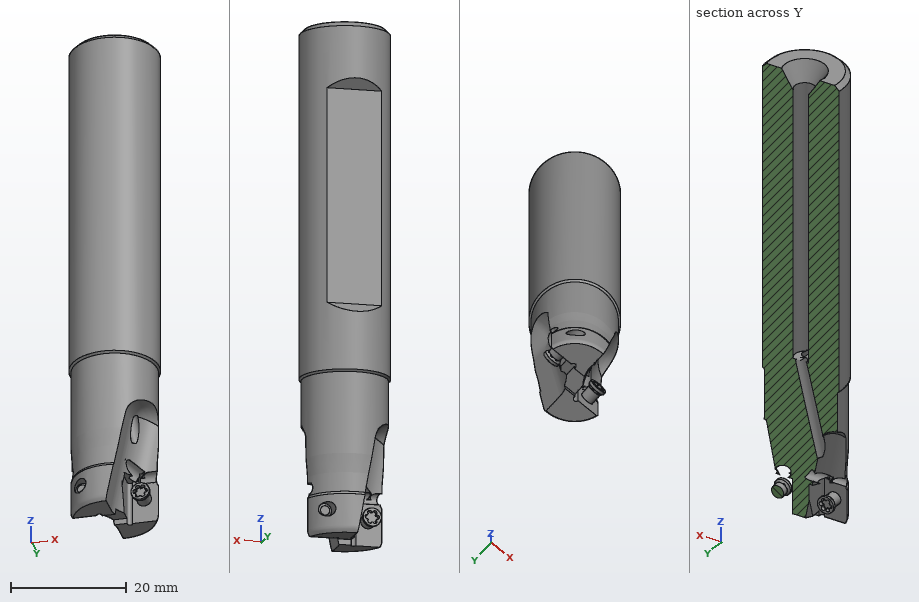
import cadquery as cq
import math

LENGTH = 90.8
SHANK_RADIUS = 7.94
TOP_CHAMFER = 0.9
SHANK_BOTTOM = 28.9

NECK_RADIUS = 7.58
WAIST_RADIUS = 7.35
NECK_TOP = SHANK_BOTTOM - (SHANK_RADIUS - NECK_RADIUS)
TAPER_TOP = 14.0
TAPER_BOTTOM = 10.6
HEAD_TOP = 7.3
HEAD_STEP_HEIGHT = 0.45
END_ROUND_INSET = 0.4
END_ROUND_HEIGHT = 1.1

FLAT_DISTANCE = 6.3
FLAT_BOTTOM = 40.8
FLAT_TOP = 79.0

MOUTH_RADIUS = 4.1
BORE_RADIUS = 2.0
MOUTH_CONE_ANGLE = 60.0
BORE_BOTTOM = 32.7
BRANCH_RADIUS = 1.1
BRANCH_START = (0, -1.1, BORE_BOTTOM)
BRANCH_EXIT = (3.8, -1.45, 16.8)
BRANCH_OVERRUN = 2.7

FLUTE_BACK_X = 0.3
FLUTE_LEAN = 11.0
FLUTE_WALL_Y = 1.7
FLUTE_ROUND = 5.3
FLUTE_END_RADIUS = 4.2
FLUTE_END_ROUND = 4.1
FLUTE_TOP = 20.6

SEAT_Y = 2.2
SEAT_INNER_X = 1.7
SEAT_DEPTH = 3.8
SEAT_TOP = 8.1
SEAT_GROOVE_RADIUS = 0.45
SEAT_GROOVE_X = SEAT_INNER_X + SEAT_GROOVE_RADIUS
TOP_RELIEF_RADIUS = 1.0
TOP_RELIEF_X = 3.8
TOP_RELIEF_Z = 8.5
JET_RADIUS = 1.3
JET_START = (1.45, -1.1, 10.35)
JET_END = (4.2, 1.6, 8.4)
END_SLOT_WIDTH = 3.8
END_SLOT_DEPTH = 1.0

SCREW_X = 4.7
SCREW_Z = 4.5
SCREW_TILT = 3.0
SCREW_RADIUS = 1.3
SCREW_END_Y = 4.4
SCREW_TIP_CHAMFER = 0.45
HEAD_RADIUS = 1.6
HEAD_OUTER_Y = -0.8
HEAD_RIM_Y = -0.3
HEAD_INNER_Y = 0.2
RECESS_RADIUS = 0.9
LOBE_RADIUS = 0.4
LOBE_COUNT = 6
RECESS_DEPTH = 0.8

CLEAR = 10.9
SIDE_ANGLES = (0, 180)


def turned_about_axis(shape, angle):
    return shape.rotate((0, 0, 0), (0, 0, 1), angle)


def round_hole(radius, start, end, overrun=0):
    """Cylinder from one point to another, carried on past the second by the overrun."""
    start_point = cq.Vector(*start)
    path = cq.Vector(*end) - start_point
    return cq.Workplane(cq.Solid.makeCylinder(radius, path.Length + overrun, start_point, path))


def make_blank():
    """Turned outline of the shank, neck, waist and head."""
    blank = (
        cq.Workplane("XZ")
        .moveTo(0, LENGTH)
        .lineTo(SHANK_RADIUS, LENGTH)
        .lineTo(SHANK_RADIUS, SHANK_BOTTOM)
        .lineTo(NECK_RADIUS, NECK_TOP)
        .lineTo(NECK_RADIUS, TAPER_TOP)
        .lineTo(WAIST_RADIUS, TAPER_BOTTOM)
        .lineTo(WAIST_RADIUS, HEAD_TOP)
        .lineTo(NECK_RADIUS, HEAD_TOP - HEAD_STEP_HEIGHT)
        .lineTo(NECK_RADIUS, END_ROUND_HEIGHT)
        .tangentArcPoint((NECK_RADIUS - END_ROUND_INSET, 0), relative=False)
        .lineTo(0, 0)
        .close()
        .revolve(360, (0, 0, 0), (0, 1, 0))
    )
    return blank.faces(">Z").chamfer(TOP_CHAMFER)


def make_clamping_flat():
    """Cut on the +Y side whose end walls slope at 45 degrees."""
    return (
        cq.Workplane("YZ")
        .polyline([
            (FLAT_DISTANCE, FLAT_BOTTOM),
            (FLAT_DISTANCE + CLEAR, FLAT_BOTTOM - CLEAR),
            (FLAT_DISTANCE + CLEAR, FLAT_TOP + CLEAR),
            (FLAT_DISTANCE, FLAT_TOP),
        ])
        .close()
        .extrude(CLEAR, both=True)
    )


def make_coolant_bore():
    """Blind bore along the axis with a conical mouth at the top."""
    mouth_depth = (MOUTH_RADIUS - BORE_RADIUS) / math.tan(math.radians(MOUTH_CONE_ANGLE / 2))
    return (
        cq.Workplane("XZ")
        .polyline([
            (0, BORE_BOTTOM),
            (BORE_RADIUS, BORE_BOTTOM),
            (BORE_RADIUS, LENGTH - mouth_depth),
            (MOUTH_RADIUS, LENGTH),
            (0, LENGTH),
        ])
        .close()
        .revolve(360, (0, 0, 0), (0, 1, 0))
    )


def make_coolant_branch():
    """Slanting hole from the bottom of the bore to the flute."""
    return round_hole(BRANCH_RADIUS, BRANCH_START, BRANCH_EXIT, BRANCH_OVERRUN)


def make_flute_sweep():
    """Side outline of the flute: leaning back wall, round upper end, with rounded corners at the side wall."""
    lean = math.radians(FLUTE_LEAN)
    centre_z = FLUTE_TOP - FLUTE_END_RADIUS
    tangent_z = centre_z + FLUTE_END_RADIUS * math.sin(lean)
    tangent_x = FLUTE_BACK_X + tangent_z * math.tan(lean)
    centre_x = tangent_x + FLUTE_END_RADIUS * math.cos(lean)
    bottom_x = FLUTE_BACK_X - CLEAR * math.tan(lean)
    sweep = (
        cq.Workplane("XZ", origin=(0, FLUTE_WALL_Y, 0))
        .moveTo(bottom_x, -CLEAR)
        .lineTo(tangent_x, tangent_z)
        .tangentArcPoint((centre_x, FLUTE_TOP), relative=False)
        .lineTo(centre_x + CLEAR, FLUTE_TOP)
        .lineTo(centre_x + CLEAR, -CLEAR)
        .close()
        .extrude(2 * CLEAR)
    )
    return sweep.faces(">Y").edges().fillet(FLUTE_END_ROUND)


def make_flute():
    """Flute on the +X side, open towards -Y, with a wide round between its two walls."""
    round_channel = (
        cq.Workplane("XY")
        .box(3 * CLEAR, 3 * CLEAR, 6 * CLEAR, centered=(False, False, True))
        .translate((0, -3 * CLEAR, 0))
        .edges("|Z and <X and >Y")
        .fillet(FLUTE_ROUND)
        .rotate((0, 0, 0), (0, 1, 0), FLUTE_LEAN)
        .translate((FLUTE_BACK_X, FLUTE_WALL_Y, 0))
    )
    return make_flute_sweep().intersect(round_channel)


def make_seat():
    """Insert seat facing -Y, with relief grooves along its inner side and its top."""
    seat = (
        cq.Workplane("XY", origin=(SEAT_INNER_X, SEAT_Y - SEAT_DEPTH, 0))
        .box(CLEAR, SEAT_DEPTH, SEAT_TOP, centered=False)
    )
    inner_groove = (
        cq.Workplane("XY").center(SEAT_GROOVE_X, SEAT_Y).circle(SEAT_GROOVE_RADIUS).extrude(SEAT_TOP)
    )
    top_groove = (
        cq.Workplane("YZ", origin=(TOP_RELIEF_X, 0, 0))
        .center(SEAT_Y, TOP_RELIEF_Z)
        .circle(TOP_RELIEF_RADIUS)
        .extrude(CLEAR)
    )
    return seat.union(inner_groove).union(top_groove)


def make_jet_hole():
    """Round channel that slopes down from the flute's back wall to the top corner of the insert seat."""
    return round_hole(JET_RADIUS, JET_START, JET_END)


def on_screw_axis(shape):
    """Moves a shape that lies along the Y axis onto the tilted axis of the clamping screw."""
    return shape.rotate((0, 0, 0), (1, 0, 0), -SCREW_TILT).translate((SCREW_X, 0, SCREW_Z))


def make_screw_hole():
    """Hole along the screw from the insert seat out through the head."""
    return on_screw_axis(cq.Workplane("XZ").circle(SCREW_RADIUS).extrude(-CLEAR))


def make_end_slot():
    """Shallow slot across the end face, between the two seats."""
    return cq.Workplane("XY").box(
        2 * CLEAR, END_SLOT_WIDTH, END_SLOT_DEPTH, centered=(True, True, False)
    )


def make_holder():
    holder = make_blank().cut(make_clamping_flat()).cut(make_coolant_bore()).cut(make_end_slot())
    side_cuts = [make_flute(), make_seat(), make_jet_hole(), make_coolant_branch(), make_screw_hole()]
    for angle in SIDE_ANGLES:
        for side_cut in side_cuts:
            holder = holder.cut(turned_about_axis(side_cut, angle))
    return holder


def make_screw():
    """Clamping screw along Y with a conical head and a six-lobed recess."""
    screw = (
        cq.Workplane("XY")
        .polyline([
            (0, HEAD_OUTER_Y),
            (HEAD_RADIUS, HEAD_OUTER_Y),
            (HEAD_RADIUS, HEAD_RIM_Y),
            (SCREW_RADIUS, HEAD_INNER_Y),
            (SCREW_RADIUS, SCREW_END_Y - SCREW_TIP_CHAMFER),
            (SCREW_RADIUS - SCREW_TIP_CHAMFER, SCREW_END_Y),
            (0, SCREW_END_Y),
        ])
        .close()
        .revolve(360, (0, 0, 0), (0, 1, 0))
    )
    recess_plane = cq.Workplane("XZ", origin=(0, HEAD_OUTER_Y, 0))
    lobes = (
        recess_plane.polarArray(RECESS_RADIUS, 0, 360, LOBE_COUNT).circle(LOBE_RADIUS).extrude(-RECESS_DEPTH)
    )
    recess = recess_plane.circle(RECESS_RADIUS).extrude(-RECESS_DEPTH).union(lobes)
    return on_screw_axis(screw.cut(recess))


holder = make_holder()
screws = [turned_about_axis(make_screw(), angle) for angle in SIDE_ANGLES]

result = cq.Compound.makeCompound([holder.val(), *[screw.val() for screw in screws]])